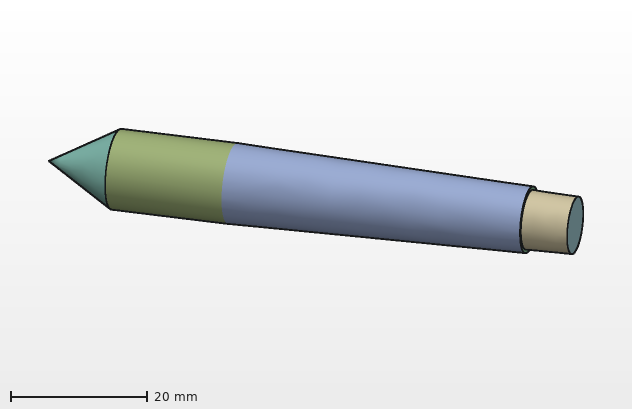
import math
import cadquery as cq

total_length = 80.5
body_diameter = 12.0
point_angle = 60.0
body_end = 28.2
tail_length = 7.0
shank_end_diameter = 9.9
tail_start_diameter = 8.85
tail_end_diameter = 8.5

body_radius = body_diameter / 2
point_length = body_radius / math.tan(math.radians(point_angle / 2))
shank_end = total_length - tail_length
tip_x = -total_length / 2

half_profile = (
    cq.Workplane("XY")
    .moveTo(0, 0)
    .lineTo(point_length, body_radius)
    .lineTo(body_end, body_radius)
    .lineTo(shank_end, shank_end_diameter / 2)
    .lineTo(shank_end, tail_start_diameter / 2)
    .lineTo(total_length, tail_end_diameter / 2)
    .lineTo(total_length, 0)
    .close()
)

result = half_profile.revolve(360, (0, 0, 0), (1, 0, 0)).translate((tip_x, 0, 0))